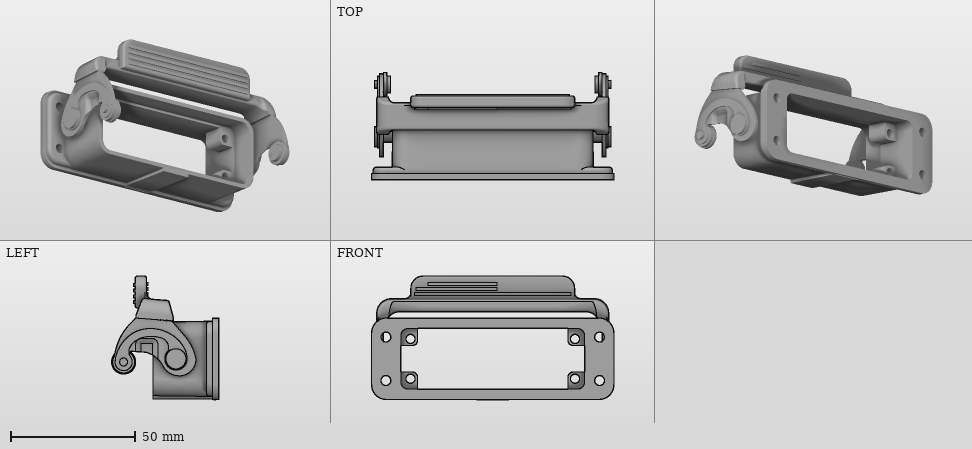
import cadquery as cq


OVERALL_HEIGHT = 49.99

MARGIN = 1.0

FLANGE_LENGTH = 97.6
FLANGE_HEIGHT = 32.8
FLANGE_THICKNESS = 2.6
FLANGE_CORNER = 6.0
FLANGE_HOLE_X = 43.0
FLANGE_HOLE_Z = 8.75
FLANGE_HOLE_DIAMETER = 3.9

PAD_INSET_X = 0.6
PAD_INSET_Z = 1.35
PAD_TOP_Y = 5.1
PAD_EDGE_FILLET = 1.4

BODY_LENGTH = 81.2
BODY_HEIGHT = 30.4
BODY_END_Y = 26.55
BODY_CORNER = 6.3
BODY_DRAFT = 0.8

KEY_WIDTH = 12.8
KEY_BOTTOM_Z = -16.2
MARK_BOTTOM_Z = -16.65
MARK_START_Y = 1.4
MARK_DEPTH = 0.5

CAVITY_LENGTH = 74.0
CAVITY_HEIGHT = 24.4
CAVITY_CORNER = 3.0
SEAT_Y = 17.4
SEAT_STEP = 1.0

BOSS_INNER_X = 30.2
BOSS_INNER_Z = 5.3
BOSS_START_Y = 8.7
BOSS_CORNER = 2.2
BOSS_HOLE_X = 33.1
BOSS_HOLE_Z = 8.0
BOSS_HOLE_DIAMETER = 3.6

PIVOT_Y = 17.3
PIVOT_HEAD_RADIUS = 4.05
PIVOT_BAND_RADIUS = 4.5
PIVOT_PIN_RADIUS = 2.3
HOOK_Y = 38.35
HOOK_Z = -1.3
HOOK_PLATE_RADIUS = 4.4
HOOK_BAND_RADIUS = 3.45
ROLLER_RADIUS = 4.85
ROLLER_STEP_RADIUS = 3.45
HOOK_PIN_RADIUS = 1.6
ROLLER_INNER_X = 41.1
ROLLER_STEP_X = 42.6
PLATE_INNER_X = 44.05
PLATE_OUTER_X = 45.65
BAND_OUTER_X = 46.4
PIN_OUTER_X = 47.6
RECESS_DEPTH = 1.2
RECESS_WALL_SLOPE = 60.0
RECESS_Y = (24.6, 33.5)
RECESS_Z = (-4.0, 8.2)
RECESS_CORNER = 2.3

BRIDGE_HALF_LENGTH = 46.7
BRIDGE_MID_Y = 25.0
BRIDGE_TILT = 4.5
BRIDGE_TOP_Z = 23.8
BRIDGE_UNDERSIDE_Z = 19.15
BRIDGE_FOOT_Z = 15.7
BRIDGE_CORNER = 6.0
BRIDGE_INNER_HALF = 43.4
BRIDGE_INNER_CORNER = 6.0
BRIDGE_EDGE_FILLET = 1.2
BAR_UNDERSIDE_FILLET = 0.8
BAR_FRONT_Y = 20.1
BAR_BACK_Y = 31.0
BAR_HALF_LENGTH = 42.0
BAR_END_RADIUS = 2.5

GRIP_HALF_LENGTH = 33.0
GRIP_TOP_Z = MARK_BOTTOM_Z + OVERALL_HEIGHT
GRIP_BOTTOM_Z = 20.4
GRIP_FRONT_Y = 29.1
GRIP_BACK_Y = 33.75
GRIP_CORNER = 5.0
GRIP_EDGE_FILLET = 0.95
GRIP_ROOT_RADIUS = 2.5
RIB_HEIGHT = 0.65
RIB_WIDTH = 1.2
FRONT_RIBS = [(-26.0, 1.8, 30.15), (-30.8, 1.8, 28.05), (-31.4, 31.4, 26.0)]
BACK_RIBS = [(-30.8, 30.8, z) for z in (22.8, 25.15, 27.45, 29.75)]


def block(x_range, y_range, z_range):
    """Axis-aligned box from its limits along each axis."""
    size = [high - low for low, high in (x_range, y_range, z_range)]
    corner = (x_range[0], y_range[0], z_range[0])
    return cq.Workplane("XY").box(*size, centered=False).translate(corner)


def rounded_slab(length, height, corner, y_start, y_end):
    """Slab centred on the Y axis with rounded corners."""
    return (
        cq.Workplane("XZ", origin=(0, y_start, 0))
        .rect(length, height)
        .extrude(y_start - y_end)
        .edges("|Y")
        .fillet(corner)
    )


def side_disc(y, z, radius, x_start, x_end):
    """Disc with its axis along X."""
    return cq.Workplane("YZ", origin=(x_start, y, z)).circle(radius).extrude(x_end - x_start)


def y_holes(x, z, diameter):
    """Four round cutters through the whole depth at (+-x, +-z)."""
    return (
        cq.Workplane("XZ")
        .rect(2 * x, 2 * z, forConstruction=True)
        .vertices()
        .circle(diameter / 2)
        .extrude(-BODY_END_Y)
    )


def make_boss(x_sign, z_sign):
    """Corner boss with a rounded inner edge, its outer sides buried in the walls."""
    outer_x = (CAVITY_LENGTH + SEAT_STEP) / 2
    outer_z = (CAVITY_HEIGHT + SEAT_STEP) / 2
    boss = block((BOSS_INNER_X, outer_x), (BOSS_START_Y, SEAT_Y), (BOSS_INNER_Z, outer_z))
    boss = boss.edges("|Y and <X and <Z").fillet(BOSS_CORNER)
    if x_sign < 0:
        boss = boss.mirror("YZ")
    if z_sign < 0:
        boss = boss.mirror("XY")
    return boss


def make_housing():
    flange = rounded_slab(FLANGE_LENGTH, FLANGE_HEIGHT, FLANGE_CORNER, 0, FLANGE_THICKNESS)
    pad = rounded_slab(
        FLANGE_LENGTH - 2 * PAD_INSET_X,
        FLANGE_HEIGHT - 2 * PAD_INSET_Z,
        FLANGE_CORNER - PAD_INSET_X,
        0,
        PAD_TOP_Y,
    )
    pad = pad.faces(">Y").edges().fillet(PAD_EDGE_FILLET)

    body_profile = cq.Sketch().rect(BODY_LENGTH, BODY_HEIGHT).vertices().fillet(BODY_CORNER)
    body_plane = cq.Plane(origin=(0, 0, 0), xDir=(1, 0, 0), normal=(0, 1, 0))
    body = cq.Workplane(body_plane).placeSketch(body_profile).extrude(BODY_END_Y, taper=BODY_DRAFT)

    key_x = (-KEY_WIDTH / 2, KEY_WIDTH / 2)
    wall_z = -(CAVITY_HEIGHT / 2 + SEAT_STEP)
    key = block(key_x, (0, BODY_END_Y), (KEY_BOTTOM_Z, wall_z))
    mark = block(key_x, (MARK_START_Y, MARK_START_Y + MARK_DEPTH), (MARK_BOTTOM_Z, wall_z))

    housing = flange.union(pad).union(body).union(key).union(mark)
    housing = housing.cut(rounded_slab(CAVITY_LENGTH, CAVITY_HEIGHT, CAVITY_CORNER, 0, BODY_END_Y))
    seat = rounded_slab(
        CAVITY_LENGTH + 2 * SEAT_STEP,
        CAVITY_HEIGHT + 2 * SEAT_STEP,
        CAVITY_CORNER + SEAT_STEP,
        SEAT_Y,
        BODY_END_Y,
    )
    housing = housing.cut(seat)
    for x_sign in (-1, 1):
        for z_sign in (-1, 1):
            housing = housing.union(make_boss(x_sign, z_sign))
    housing = housing.cut(y_holes(BOSS_HOLE_X, BOSS_HOLE_Z, BOSS_HOLE_DIAMETER))
    return housing.cut(y_holes(FLANGE_HOLE_X, FLANGE_HOLE_Z, FLANGE_HOLE_DIAMETER))


def make_recess():
    """Shallow dish with sloping walls, sunk into the outer face of the plate."""
    width = RECESS_Y[1] - RECESS_Y[0]
    height = RECESS_Z[1] - RECESS_Z[0]
    mouth = cq.Sketch().rect(width, height).vertices().fillet(RECESS_CORNER)
    inward_plane = cq.Plane(
        origin=(PLATE_OUTER_X, sum(RECESS_Y) / 2, sum(RECESS_Z) / 2),
        xDir=(0, 1, 0),
        normal=(-1, 0, 0),
    )
    return cq.Workplane(inward_plane).placeSketch(mouth).extrude(RECESS_DEPTH, taper=RECESS_WALL_SLOPE)


def make_side_plate():
    """Hook-shaped lever plate with its round hook end and shallow outer recess."""
    outline = (
        cq.Workplane("YZ", origin=(PLATE_INNER_X, 0, 0))
        .moveTo(HOOK_Y, HOOK_Z)
        .lineTo(42.2, 0.5)
        .threePointArc((39.9, 8.25), (36.9, 12.9))
        .lineTo(33.4, 16.5)
        .lineTo(18.9, 15.2)
        .lineTo(13.6, 9.0)
        .threePointArc((10.8, 4.7), (9.25, 0))
        .threePointArc((11.2, -4.9), (16.0, -6.85))
        .threePointArc((19.9, -5.7), (22.2, -3.5))
        .threePointArc((25.0, 0.3), (29.4, 2.6))
        .lineTo(35.4, 3.0)
        .close()
    )
    plate = outline.extrude(PLATE_OUTER_X - PLATE_INNER_X)
    plate = plate.union(side_disc(HOOK_Y, HOOK_Z, HOOK_PLATE_RADIUS, PLATE_INNER_X, PLATE_OUTER_X))
    return plate.cut(make_recess())


def make_band():
    """Raised band running from the pivot over the hook throat to the hook end."""
    outer_curve = [(13.8, 4.0), (18.8, 9.55), (27.2, 12.2), (34.3, 10.5), (39.3, 5.8), (41.7, 0)]
    inner_curve = [(36.1, 4.0), (33.9, 6.95), (27.2, 9.0), (21.2, 7.1), (20.3, 4.0)]
    outline = (
        cq.Workplane("YZ", origin=(PLATE_OUTER_X, 0, 0))
        .moveTo(PIVOT_Y, 0)
        .lineTo(PIVOT_Y - PIVOT_BAND_RADIUS, 0)
        .spline(outer_curve, includeCurrent=True)
        .lineTo(HOOK_Y, HOOK_Z)
        .lineTo(35.5, 0.5)
        .spline(inner_curve, includeCurrent=True)
        .close()
    )
    band = outline.extrude(BAND_OUTER_X - PLATE_OUTER_X)
    band = band.union(side_disc(PIVOT_Y, 0, PIVOT_BAND_RADIUS, PLATE_OUTER_X, BAND_OUTER_X))
    return band.union(side_disc(HOOK_Y, HOOK_Z, HOOK_BAND_RADIUS, PLATE_OUTER_X, BAND_OUTER_X))


def make_lever_side():
    """One complete lever side: plate, band, pivot and latch roller."""
    pin_start_x = (CAVITY_LENGTH + BODY_LENGTH) / 4
    parts = [
        make_band(),
        side_disc(PIVOT_Y, 0, PIVOT_PIN_RADIUS, pin_start_x, PIN_OUTER_X),
        side_disc(PIVOT_Y, 0, PIVOT_HEAD_RADIUS, BAND_OUTER_X, PIN_OUTER_X),
        side_disc(HOOK_Y, HOOK_Z, ROLLER_STEP_RADIUS, ROLLER_INNER_X, ROLLER_STEP_X),
        side_disc(HOOK_Y, HOOK_Z, ROLLER_RADIUS, ROLLER_STEP_X, PLATE_INNER_X),
        side_disc(HOOK_Y, HOOK_Z, HOOK_PIN_RADIUS, BAND_OUTER_X, PIN_OUTER_X),
    ]
    side = make_side_plate()
    for part in parts:
        side = side.union(part)
    return side


def arch_block(half_length, top_z, bottom_z, corner):
    """Tilted block along Y whose two upper corners are rounded."""
    reach_y = 2 * BRIDGE_MID_Y
    arch = block((-half_length, half_length), (0, reach_y), (bottom_z, top_z))
    arch = arch.edges("|Y and >Z").fillet(corner)
    return arch.rotate((0, BRIDGE_MID_Y, 0), (1, BRIDGE_MID_Y, 0), BRIDGE_TILT)


def is_arch_edge(edge):
    """True for the long upper edges and the rounded ends that continue them."""
    is_long = edge.Length() > BRIDGE_HALF_LENGTH
    is_upper = edge.Center().z > (BRIDGE_UNDERSIDE_Z + BRIDGE_TOP_Z) / 2
    return edge.geomType() == "ELLIPSE" or (is_long and is_upper)


def is_bar_underside_edge(edge):
    """True for the two long lower edges of the crossbar."""
    is_long = edge.Length() > BRIDGE_HALF_LENGTH
    return is_long and edge.Center().z < (BRIDGE_UNDERSIDE_Z + BRIDGE_TOP_Z) / 2


def make_bridge():
    """Crossbar with tapering section, turned down at both ends onto the side plates."""
    section_points = [(33.4, 12), (33.4, 17.6), (30.1, 26), (20.8, 26), (18.3, 16.6), (18.3, 12)]
    section = (
        cq.Workplane("YZ", origin=(-BRIDGE_HALF_LENGTH, 0, 0))
        .polyline(section_points)
        .close()
        .extrude(2 * BRIDGE_HALF_LENGTH)
    )
    outer = arch_block(BRIDGE_HALF_LENGTH, BRIDGE_TOP_Z, BRIDGE_FOOT_Z, BRIDGE_CORNER)
    inner_foot_z = BRIDGE_UNDERSIDE_Z - 2 * BRIDGE_INNER_CORNER
    inner = arch_block(BRIDGE_INNER_HALF, BRIDGE_UNDERSIDE_Z, inner_foot_z, BRIDGE_INNER_CORNER)
    bridge = section.intersect(outer)
    bridge = bridge.edges().filter(is_arch_edge).fillet(BRIDGE_EDGE_FILLET)
    depth_y = 2 * BRIDGE_MID_Y
    for relief_y in ((BAR_FRONT_Y - depth_y, BAR_FRONT_Y), (BAR_BACK_Y, BAR_BACK_Y + depth_y)):
        relief = block((-BAR_HALF_LENGTH, BAR_HALF_LENGTH), relief_y, (0, depth_y))
        bridge = bridge.cut(relief.edges("|Z").fillet(BAR_END_RADIUS))
    bridge = bridge.cut(inner)
    return bridge.edges().filter(is_bar_underside_edge).fillet(BAR_UNDERSIDE_FILLET)


def make_rib(x_start, x_end, z, y_start, y_end):
    return block((x_start, x_end), (y_start, y_end), (z - RIB_WIDTH / 2, z + RIB_WIDTH / 2))


def make_grip():
    """Upright grip tab with rounded upper corners and ribs on both faces."""
    grip = block(
        (-GRIP_HALF_LENGTH, GRIP_HALF_LENGTH),
        (GRIP_FRONT_Y, GRIP_BACK_Y),
        (GRIP_BOTTOM_Z, GRIP_TOP_Z),
    )
    grip = grip.edges("|Y and >Z").fillet(GRIP_CORNER)
    return grip.faces("<Y or >Y").edges().fillet(GRIP_EDGE_FILLET)


def add_ribs(grip):
    grip_mid_y = (GRIP_FRONT_Y + GRIP_BACK_Y) / 2
    for x_start, x_end, z in FRONT_RIBS:
        grip = grip.union(make_rib(x_start, x_end, z, GRIP_FRONT_Y - RIB_HEIGHT, grip_mid_y))
    for x_start, x_end, z in BACK_RIBS:
        grip = grip.union(make_rib(x_start, x_end, z, grip_mid_y, GRIP_BACK_Y + RIB_HEIGHT))
    return grip


def make_grip_root():
    """Concave fillet between the grip and the tilted top of the bridge."""
    reach_x = GRIP_HALF_LENGTH + GRIP_ROOT_RADIUS
    base = arch_block(BRIDGE_HALF_LENGTH, BRIDGE_TOP_Z, BRIDGE_UNDERSIDE_Z, GRIP_EDGE_FILLET)
    post = block(
        (-GRIP_HALF_LENGTH, GRIP_HALF_LENGTH),
        (GRIP_FRONT_Y, GRIP_FRONT_Y + GRIP_BACK_Y - BAR_FRONT_Y),
        (BRIDGE_TOP_Z - MARGIN, GRIP_TOP_Z - GRIP_CORNER),
    )
    post = post.edges("|Z").fillet(GRIP_EDGE_FILLET)
    joined = base.union(post)
    joint_zone = cq.selectors.BoxSelector(
        (-reach_x, GRIP_FRONT_Y - GRIP_EDGE_FILLET, BRIDGE_TOP_Z - MARGIN),
        (reach_x, 2 * BRIDGE_MID_Y - MARGIN, GRIP_TOP_Z - GRIP_CORNER - MARGIN),
    )
    joint = joined.edges(joint_zone).edges("not |Z")
    trim = block(
        (-reach_x - MARGIN, reach_x + MARGIN),
        (GRIP_FRONT_Y - GRIP_ROOT_RADIUS - MARGIN, BAR_BACK_Y - BRIDGE_EDGE_FILLET),
        (BRIDGE_TOP_Z - MARGIN, GRIP_TOP_Z - GRIP_CORNER),
    )
    return joint.fillet(GRIP_ROOT_RADIUS).intersect(trim)


lever_side = make_lever_side()
handle = make_bridge().union(make_grip_root()).union(add_ribs(make_grip()))
result = make_housing().union(lever_side).union(lever_side.mirror("YZ")).union(handle)